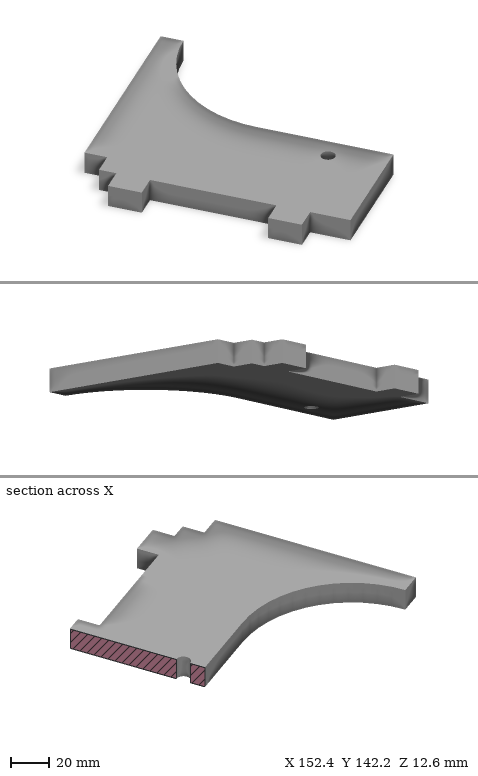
import cadquery as cq

length = 152.4
width = 142.2
thickness = 12.6

step = thickness
base_edge_y = step
arm_width = step

corner_radius = 63.5
body_top_y = width - corner_radius

tab_width = 18.7
tab_starts = (22.3, 111.3)

hole_diameter = 8.0
hole_x = tab_starts[1] + tab_width / 2
hole_y = body_top_y - step


def make_body():
    """Plate with an upright arm, a concave corner and a notched lower-left corner."""
    return (
        cq.Workplane("XY")
        .moveTo(step, base_edge_y)
        .lineTo(length, base_edge_y)
        .lineTo(length, body_top_y)
        .lineTo(arm_width + corner_radius, body_top_y)
        .radiusArc((arm_width, width), corner_radius)
        .lineTo(0, width)
        .lineTo(0, base_edge_y + step)
        .lineTo(step, base_edge_y + step)
        .close()
        .extrude(thickness)
    )


def make_tab(start_x):
    """Rectangular tab reaching from y = 0 up to the lower edge."""
    return cq.Workplane("XY").box(tab_width, step, thickness, centered=False).translate((start_x, 0, 0))


def make_hole():
    """Cylinder that cuts the through hole."""
    return cq.Workplane("XY").center(hole_x, hole_y).circle(hole_diameter / 2).extrude(thickness)


result = make_body()
for tab_start in tab_starts:
    result = result.union(make_tab(tab_start))
result = result.cut(make_hole())